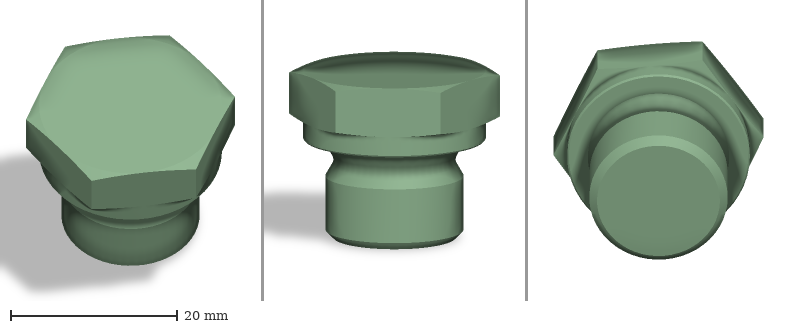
import cadquery as cq
import math

across_corners = 25.4
across_flats = across_corners * math.cos(math.radians(30))
head_height = 6.0
head_bevel_angle = 15

total_height = 20.5
flange_thickness = 2.51
head_bottom = total_height - head_height
flange_bottom = head_bottom - flange_thickness

flange_radius = across_flats / 2
flange_chamfer = 0.2

shank_radius = 8.33
shank_top = 7.55
shank_chamfer = 0.95
neck_top_radius = 8.5
groove_top = 10.13
groove_bottom = 8.95
groove_flank_angle = math.radians(30)
groove_edge_radius = shank_radius - (groove_bottom - shank_top) * math.tan(groove_flank_angle)

groove_arc_radius = (groove_top - groove_bottom) / 2 / math.sin(groove_flank_angle)
groove_radius = groove_edge_radius - groove_arc_radius * (1 - math.cos(groove_flank_angle))


def make_head():
    """Hexagon prism trimmed by a cone at each end."""
    corner_radius = across_corners / 2
    bevel_height = (corner_radius - flange_radius) * math.tan(math.radians(head_bevel_angle))
    prism = (
        cq.Workplane("XY")
        .workplane(offset=head_bottom)
        .polygon(6, across_corners)
        .extrude(head_height)
        .rotate((0, 0, 0), (0, 0, 1), 30)
    )
    bevel_envelope = (
        cq.Workplane("XZ")
        .moveTo(0, head_bottom)
        .lineTo(flange_radius, head_bottom)
        .lineTo(corner_radius, head_bottom + bevel_height)
        .lineTo(corner_radius, total_height - bevel_height)
        .lineTo(flange_radius, total_height)
        .lineTo(0, total_height)
        .close()
        .revolve(360, (0, 0, 0), (0, 1, 0))
    )
    return prism.intersect(bevel_envelope)


def make_shank_and_flange():
    """Revolved shank, undercut and flange."""
    return (
        cq.Workplane("XZ")
        .lineTo(shank_radius - shank_chamfer, 0)
        .lineTo(shank_radius, shank_chamfer)
        .lineTo(shank_radius, shank_top)
        .lineTo(groove_edge_radius, groove_bottom)
        .threePointArc(
            (groove_radius, (groove_bottom + groove_top) / 2),
            (groove_edge_radius, groove_top),
        )
        .lineTo(neck_top_radius, flange_bottom)
        .lineTo(flange_radius - flange_chamfer, flange_bottom)
        .lineTo(flange_radius, flange_bottom + flange_chamfer)
        .lineTo(flange_radius, head_bottom)
        .lineTo(0, head_bottom)
        .close()
        .revolve(360, (0, 0, 0), (0, 1, 0))
    )


result = make_head().union(make_shank_and_flange())